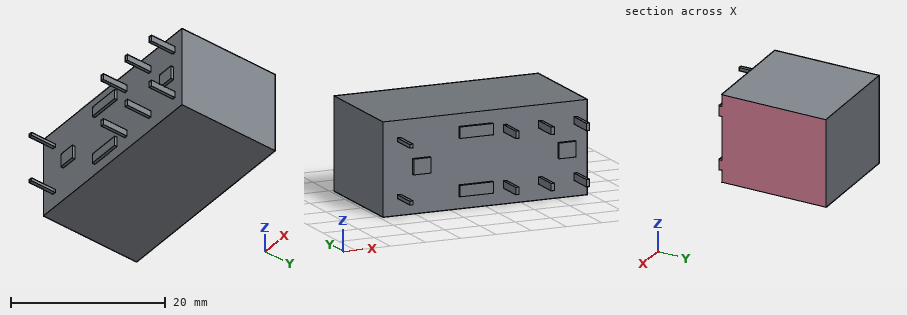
import cadquery as cq

case_length = 29.0
case_depth = 15.3
case_height = 12.7

pin_length = 3.9
coil_pin_x = -12.25
coil_pin_width = 0.5
coil_row_spacing = 7.57
contact_pin_width = 0.44
contact_pin_height = 1.0
contact_row_spacing = 7.48
contact_pitch = 5.02
contact_count = 3
first_contact_x = 2.78

pad_thickness = 0.4
long_pad_x = -1.4
long_pad_width = 4.7
long_pad_height = 1.5
long_pad_spacing = 7.77
end_pad_left_x = -9.1
end_pad_right_x = 11.5
end_pad_width = 2.4
end_pad_height = 2.1


def mirrored_rows(x_positions, spacing):
    """Centres of two rows placed evenly above and below the middle."""
    return [(x, side * spacing / 2) for x in x_positions for side in (-1, 1)]


def face_blocks(centres, width, height, length):
    """Rectangular blocks rising from the pin face toward -Y."""
    return cq.Workplane("XZ").pushPoints(centres).rect(width, height).extrude(length)


case = cq.Workplane("XZ").rect(case_length, case_height).extrude(-case_depth)

coil_pins = face_blocks(
    mirrored_rows([coil_pin_x], coil_row_spacing), coil_pin_width, coil_pin_width, pin_length
)

contact_x = [first_contact_x + i * contact_pitch for i in range(contact_count)]
contact_pins = face_blocks(
    mirrored_rows(contact_x, contact_row_spacing), contact_pin_width, contact_pin_height, pin_length
)

long_pads = face_blocks(
    mirrored_rows([long_pad_x], long_pad_spacing), long_pad_width, long_pad_height, pad_thickness
)

end_pads = face_blocks(
    [(end_pad_left_x, 0), (end_pad_right_x, 0)], end_pad_width, end_pad_height, pad_thickness
)

result = case.union(coil_pins).union(contact_pins).union(long_pads).union(end_pads)